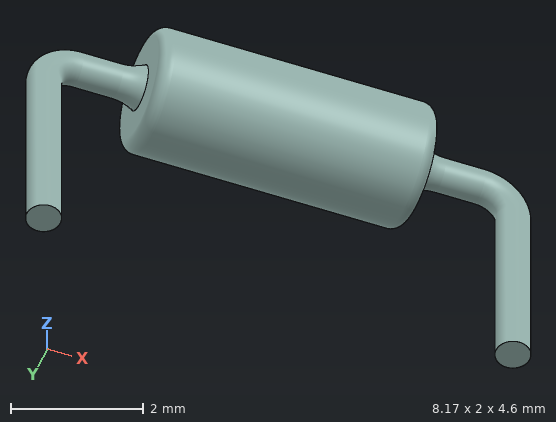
import cadquery as cq

overall_length = 8.17
overall_height = 4.6

housing_diameter = 2.0
housing_length = 4.5
housing_edge_radius = 0.2

wire_diameter = 0.55
bend_radius = wire_diameter
flare_length = 0.37
flare_diameter = 0.73

wire_radius = wire_diameter / 2
face_x = housing_length / 2
flare_start_x = face_x + flare_length
leg_x = overall_length / 2 - wire_radius
bend_start_x = leg_x - bend_radius
base_z = housing_diameter / 2 - overall_height


def make_housing():
    """Cylinder along X with both rims rounded."""
    return (
        cq.Workplane("YZ", origin=(-face_x, 0, 0))
        .circle(housing_diameter / 2)
        .extrude(housing_length)
        .edges("%CIRCLE")
        .fillet(housing_edge_radius)
        .solids()
    )


def make_flare():
    """Concave trumpet, tangent to the wire and widening to the +X face."""
    rise = flare_diameter / 2 - wire_radius
    arc_radius = (flare_length**2 + rise**2) / (2 * rise)
    return (
        cq.Workplane("XZ")
        .moveTo(face_x, 0)
        .lineTo(flare_start_x, 0)
        .lineTo(flare_start_x, wire_radius)
        .radiusArc((face_x, flare_diameter / 2), arc_radius)
        .close()
        .revolve(360, (0, 0, 0), (1, 0, 0))
    )


def make_wire():
    """Round wire from the flare, through a quarter bend, down to the base."""
    path = (
        cq.Workplane("XZ")
        .moveTo(flare_start_x, 0)
        .lineTo(bend_start_x, 0)
        .tangentArcPoint((leg_x, -bend_radius), relative=False)
        .lineTo(leg_x, base_z)
    )
    return cq.Workplane("YZ", origin=(flare_start_x, 0, 0)).circle(wire_radius).sweep(path)


def make_lead(angle):
    """One lead, turned about Z to the end of the housing it belongs to."""
    lead = make_flare().union(make_wire())
    return lead.rotate((0, 0, 0), (0, 0, 1), angle).solids()


housing = make_housing()
leads = [make_lead(angle).val() for angle in (0, 180)]

result = cq.Compound.makeCompound([housing.val(), *leads])